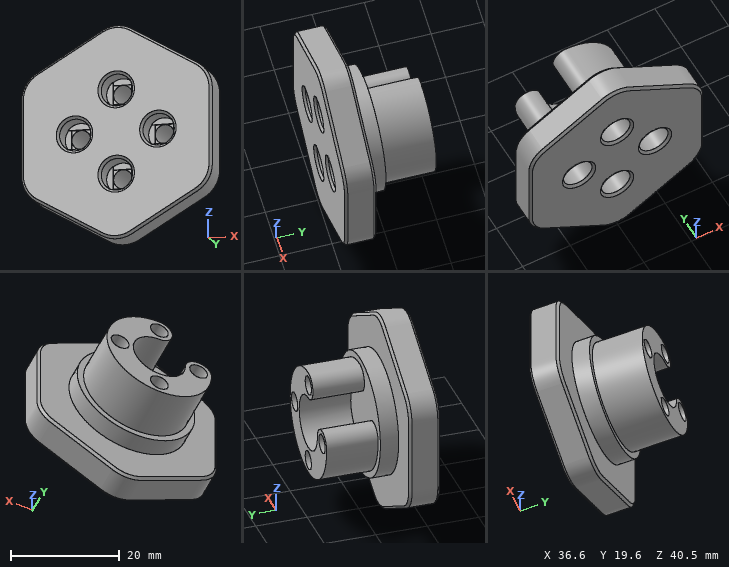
import cadquery as cq
import math

FLANGE_SIDES = 6
FLANGE_FLATS = 36.6
FLANGE_THICKNESS = 6.0
FLANGE_CORNER_RADIUS = 5.8
FLANGE_CHAMFER = 0.5

COLLAR_DIAMETER = 24.0
COLLAR_LENGTH = 3.55

SCREW_CIRCLE_RADIUS = 8.0
RING_WALL = 5.4
RING_LENGTH = 10.0

SCREW_COUNT = 4
SCREW_DIAMETER = 3.6
HEAD_DIAMETER = 6.0
HEAD_CHAMFER = 0.5
HEAD_DEPTH = 4.0
BRIDGE_STEP = 0.25

HEXAGON_HALF_ANGLE = 180 / FLANGE_SIDES
COLLAR_END = FLANGE_THICKNESS + COLLAR_LENGTH
TOTAL_LENGTH = COLLAR_END + RING_LENGTH


def plane_at(y):
    """Sketch plane at depth y: local x is +X, local y is +Z; it extrudes toward -Y."""
    return cq.Workplane("XZ", origin=(0, y, 0))


def make_flange():
    corner_to_corner = FLANGE_FLATS / math.cos(math.radians(HEXAGON_HALF_ANGLE))
    return (
        plane_at(0)
        .transformed(rotate=(0, 0, HEXAGON_HALF_ANGLE))
        .polygon(FLANGE_SIDES, corner_to_corner)
        .extrude(-FLANGE_THICKNESS)
        .edges("|Y")
        .fillet(FLANGE_CORNER_RADIUS)
        .faces("<Y or >Y")
        .edges()
        .chamfer(FLANGE_CHAMFER)
    )


def make_collar():
    return plane_at(FLANGE_THICKNESS).circle(COLLAR_DIAMETER / 2).extrude(-COLLAR_LENGTH)


def make_ring():
    """Three-quarter ring, open in the -X +Z quadrant, with round ends."""
    inner = SCREW_CIRCLE_RADIUS - RING_WALL / 2
    outer = SCREW_CIRCLE_RADIUS + RING_WALL / 2
    end_tip = RING_WALL / 2
    diagonal = math.sqrt(0.5)
    return (
        plane_at(COLLAR_END)
        .moveTo(0, outer)
        .threePointArc((outer * diagonal, -outer * diagonal), (-outer, 0))
        .threePointArc((-SCREW_CIRCLE_RADIUS, end_tip), (-inner, 0))
        .threePointArc((inner * diagonal, -inner * diagonal), (0, inner))
        .threePointArc((-end_tip, SCREW_CIRCLE_RADIUS), (0, outer))
        .close()
        .extrude(-RING_LENGTH)
    )


def make_screw_cutter():
    """Screw hole with a head recess that narrows through a slot and a square, made at the +X position."""
    square_start = HEAD_DEPTH + BRIDGE_STEP
    head_radius = HEAD_DIAMETER / 2

    shank = plane_at(0).circle(SCREW_DIAMETER / 2).extrude(-TOTAL_LENGTH)
    head = plane_at(0).circle(head_radius).extrude(-HEAD_DEPTH)
    mouth = cq.Workplane(
        cq.Solid.makeCone(
            head_radius + HEAD_CHAMFER, head_radius, HEAD_CHAMFER, cq.Vector(0, 0, 0), cq.Vector(0, 1, 0)
        )
    )
    slot = (
        plane_at(HEAD_DEPTH)
        .circle(head_radius)
        .extrude(-BRIDGE_STEP)
        .intersect(plane_at(HEAD_DEPTH).rect(HEAD_DIAMETER, SCREW_DIAMETER).extrude(-BRIDGE_STEP))
    )
    square = plane_at(square_start).rect(SCREW_DIAMETER, SCREW_DIAMETER).extrude(-BRIDGE_STEP)

    cutter = shank.union(head).union(mouth).union(slot).union(square)
    return cutter.translate((SCREW_CIRCLE_RADIUS, 0, 0))


result = make_flange().union(make_collar()).union(make_ring())

screw_cutter = make_screw_cutter()
for index in range(SCREW_COUNT):
    angle = index * 360 / SCREW_COUNT
    result = result.cut(screw_cutter.rotate((0, 0, 0), (0, 1, 0), angle))